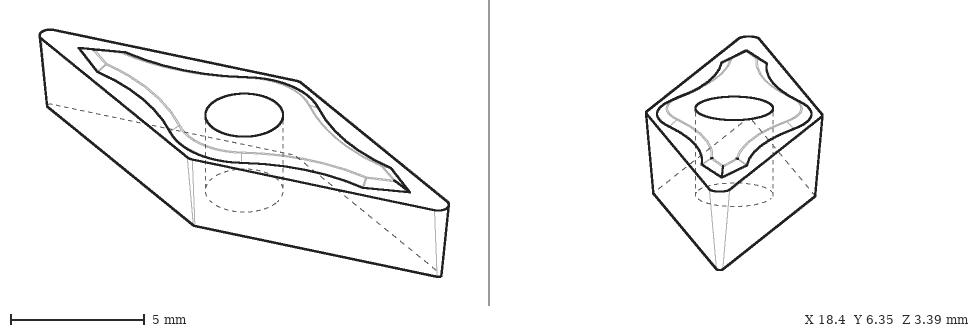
import cadquery as cq
import math

point_angle = 35.0
overall_length = 18.4
overall_width = 6.35
total_height = 3.39
island_height = 0.22
clearance_angle = 5.0
bore_diameter = 2.9

base_tip = 7.88
base_shoulder = (6.31, 0.85)
base_hub_radius = 2.89
top_tip = 7.18
top_shoulder = (6.18, 0.48)
top_hub_radius = 2.52
hub_arc_end_angle = 54.0
shoulder_blend = 0.18
top_edge_blend = 0.11

half_point = point_angle / 2
half_width = overall_width / 2

point_slope = math.tan(math.radians(half_point))
sharp_point_x = half_width / point_slope
corner_radius = (sharp_point_x - overall_length / 2) / (1 / point_slope - 1)

rim_height = total_height - island_height


def make_body():
    half_long = half_width / math.sin(math.radians(half_point))
    half_short = half_width / math.cos(math.radians(half_point))
    diamond = (
        cq.Sketch()
        .polygon([
            (-half_long, 0),
            (0, -half_short),
            (half_long, 0),
            (0, half_short),
            (-half_long, 0),
        ])
        .vertices()
        .fillet(corner_radius)
    )
    return (
        cq.Workplane("XY", origin=(0, 0, rim_height))
        .placeSketch(diamond)
        .extrude(-rim_height, taper=clearance_angle)
    )


def island_outline(height, tip, shoulder, hub_radius):
    """Pointed outline with hollow sides that run tangentially into a round hub."""
    end_angle = math.radians(hub_arc_end_angle)
    hub_u = hub_radius * math.cos(end_angle)
    hub_v = hub_radius * math.sin(end_angle)
    shoulder_u, shoulder_v = shoulder

    def hollow(side_u, side_v):
        start = cq.Vector(side_u * hub_u, side_v * hub_v, height)
        tangent = cq.Vector(side_u * hub_v, -side_v * hub_u, 0)
        end = cq.Vector(side_u * shoulder_u, side_v * shoulder_v, height)
        return cq.Edge.makeTangentArc(start, tangent, end)

    def hub(side_v):
        return cq.Edge.makeThreePointArc(
            cq.Vector(-hub_u, side_v * hub_v, height),
            cq.Vector(0, side_v * hub_radius, height),
            cq.Vector(hub_u, side_v * hub_v, height),
        )

    def tip_sides(side_u):
        point = cq.Vector(side_u * tip, 0, height)
        shoulders = [cq.Vector(side_u * shoulder_u, side_v * shoulder_v, height) for side_v in (1, -1)]
        return [cq.Edge.makeLine(shoulder_point, point) for shoulder_point in shoulders]

    edges = [hub(1), hub(-1)]
    for side_u in (1, -1):
        edges += [hollow(side_u, side_v) for side_v in (1, -1)]
        edges += tip_sides(side_u)
    return cq.Wire.combine(edges)[0]


def make_island():
    base = island_outline(rim_height, base_tip, base_shoulder, base_hub_radius)
    top = island_outline(total_height, top_tip, top_shoulder, top_hub_radius)
    island = cq.Workplane(cq.Solid.makeLoft([base, top], ruled=True))
    shoulder_u = (base_shoulder[0] + top_shoulder[0]) / 2
    middle_height = (rim_height + total_height) / 2

    def is_shoulder_edge(edge):
        centre = edge.Center()
        is_sloping = abs(centre.z - middle_height) < island_height / 4
        return is_sloping and abs(abs(centre.x) - shoulder_u) < shoulder_blend

    shoulders = island.edges().filter(is_shoulder_edge)
    island = shoulders.fillet(shoulder_blend)
    return island.faces(">Z").edges().fillet(top_edge_blend)


diamond_insert = make_body().union(make_island())
bore = cq.Workplane("XY").circle(bore_diameter / 2).extrude(total_height)

result = diamond_insert.cut(bore).rotate((0, 0, 0), (0, 0, 1), -half_point)